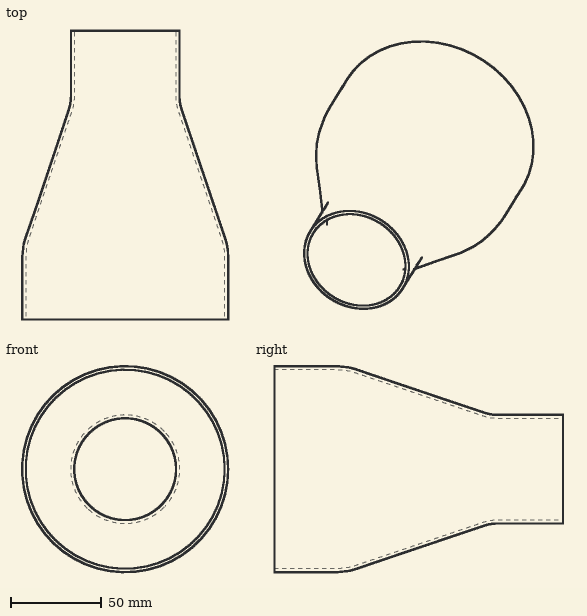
import cadquery as cq
import math

length = 160.0
wide_diameter = 114.2
narrow_diameter = 60.3
wall = 2.0
wide_pipe_length = 35.0
narrow_pipe_length = 36.6
wide_bend_radius = 30.4
narrow_bend_radius = 21.5

front_y = -length / 2
back_y = length / 2
wide_bend_y = front_y + wide_pipe_length
narrow_bend_y = back_y - narrow_pipe_length
wide_radius = wide_diameter / 2
narrow_radius = narrow_diameter / 2

wide_centre_r = wide_radius - wide_bend_radius
narrow_centre_r = narrow_radius + narrow_bend_radius

centre_run = narrow_bend_y - wide_bend_y
centre_rise = narrow_centre_r - wide_centre_r
centre_distance = math.hypot(centre_run, centre_rise)
cone_angle = math.asin((wide_bend_radius + narrow_bend_radius) / centre_distance) - math.atan2(
    centre_rise, centre_run
)


def wide_bend_point(inset, angle):
    """Point (r, y) on the wide bend, turned by angle from the pipe, inset into the wall."""
    radius = wide_bend_radius - inset
    return (wide_centre_r + radius * math.cos(angle), wide_bend_y + radius * math.sin(angle))


def narrow_bend_point(inset, angle):
    """Point (r, y) on the narrow bend, turned by angle from the pipe, inset into the wall."""
    radius = narrow_bend_radius + inset
    return (narrow_centre_r - radius * math.cos(angle), narrow_bend_y - radius * math.sin(angle))


def reducer_body(inset):
    """Solid of revolution bounded by the outer surface moved inward by inset."""
    profile = (
        cq.Workplane("XY")
        .moveTo(0, front_y)
        .lineTo(wide_radius - inset, front_y)
        .lineTo(*wide_bend_point(inset, 0))
        .threePointArc(wide_bend_point(inset, cone_angle / 2), wide_bend_point(inset, cone_angle))
        .lineTo(*narrow_bend_point(inset, cone_angle))
        .threePointArc(narrow_bend_point(inset, cone_angle / 2), narrow_bend_point(inset, 0))
        .lineTo(narrow_radius - inset, back_y)
        .lineTo(0, back_y)
        .close()
    )
    return profile.revolve(360, (0, 0, 0), (0, 1, 0))


result = reducer_body(0).cut(reducer_body(wall))